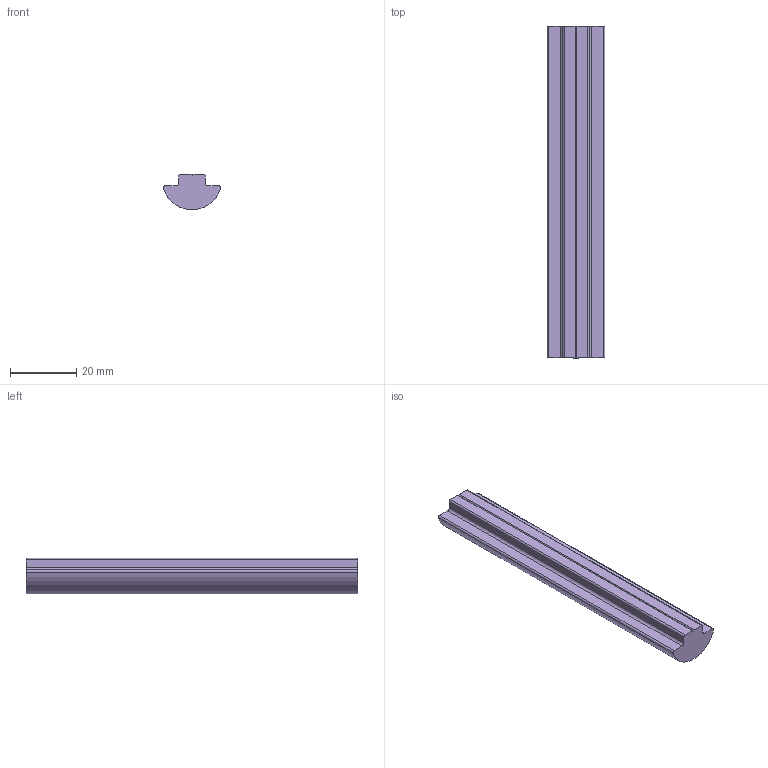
import cadquery as cq
import math

length = 100.0
total_height = 10.67
neck_width = 8.0
neck_height = 3.48
belly_radius = 9.0
neck_top_radius = 0.48
neck_root_radius = 0.8
wing_tip_radius = 0.5
groove_width = 0.6
groove_depth = 0.3

belly_depth = total_height - neck_height
belly_center_z = belly_radius - belly_depth
shoulder_half_width = math.sqrt(belly_radius**2 - belly_center_z**2)


def make_bar():
    """Extrude the T-shaped section with its round belly along Y."""
    half_neck = neck_width / 2
    section = (
        cq.Workplane("XZ")
        .moveTo(-shoulder_half_width, 0)
        .threePointArc((0, -belly_depth), (shoulder_half_width, 0))
        .lineTo(half_neck, 0)
        .lineTo(half_neck, neck_height)
        .lineTo(-half_neck, neck_height)
        .lineTo(-half_neck, 0)
        .close()
    )
    return section.extrude(length / 2, both=True)


def round_edges(bar, half_width, height, radius):
    """Round the pair of lengthwise edges at X = +/-half_width, Z = height."""
    for x in (-half_width, half_width):
        edge = cq.selectors.NearestToPointSelector((x, 0, height))
        bar = bar.edges("|Y").edges(edge).fillet(radius)
    return bar


def make_groove():
    """V-shaped marking groove along the middle of the neck top."""
    return (
        cq.Workplane("XZ")
        .moveTo(-groove_width / 2, neck_height)
        .lineTo(0, neck_height - groove_depth)
        .lineTo(groove_width / 2, neck_height)
        .close()
        .extrude(length / 2, both=True)
    )


bar = make_bar()
bar = round_edges(bar, neck_width / 2, neck_height, neck_top_radius)
bar = round_edges(bar, neck_width / 2, 0, neck_root_radius)
bar = round_edges(bar, shoulder_half_width, 0, wing_tip_radius)
result = bar.cut(make_groove())